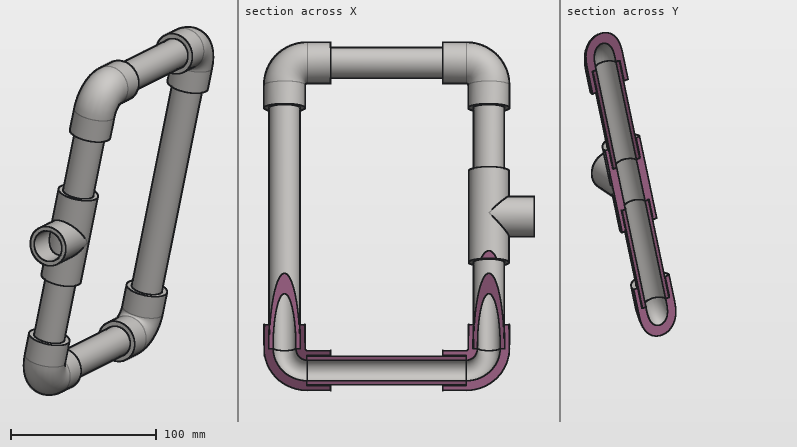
import cadquery as cq
import math

frame_depth = 140.2
frame_rise = 211.2
frame_lean = 45.0
frame_height = math.hypot(frame_rise, frame_lean)
lean_angle = math.degrees(math.atan2(frame_lean, frame_rise))

pipe_diameter = 21.3
pipe_bore = 15.3

socket_diameter = 21.5
socket_depth = 16.0

elbow_diameter = 28.5
bend_radius = 15.5

tee_diameter = 27.8
tee_half_run = 32.1
tee_branch_length = 31.2


def rod(start, direction, length, diameter):
    """Solid cylinder running from a point along a direction."""
    return cq.Workplane(
        cq.Solid.makeCylinder(diameter / 2, length, cq.Vector(*start), cq.Vector(*direction))
    )


def bend(diameter):
    """Quarter-circle round bar from (0, bend_radius, 0) to (0, 0, bend_radius)."""
    return (
        cq.Workplane("XZ", origin=(0, bend_radius, 0))
        .circle(diameter / 2)
        .revolve(90, (2.5, bend_radius, 0), (-2.5, bend_radius, 0))
    )


def make_elbow():
    """Elbow with its corner at the origin and its sockets opening toward +Y and +Z."""
    y_seat = (0, bend_radius, 0)
    z_seat = (0, 0, bend_radius)
    body = bend(elbow_diameter)
    passage = bend(pipe_bore)
    for seat, direction in ((y_seat, (0, 1, 0)), (z_seat, (0, 0, 1))):
        body = body.union(rod(seat, direction, socket_depth, elbow_diameter))
        passage = passage.union(rod(seat, direction, socket_depth, socket_diameter))
    return body.cut(passage)


def make_tee():
    """Tee centred at the origin with its run along Z and its branch toward -Y."""
    run_start = (0, 0, -tee_half_run)
    run_length = 2 * tee_half_run
    run = rod(run_start, (0, 0, 1), run_length, tee_diameter)
    branch = rod((0, 0, 0), (0, -1, 0), tee_branch_length, tee_diameter)
    branch = branch.cut(rod((0, 0, 0), (0, -1, 0), tee_branch_length, socket_diameter))
    body = run.union(branch).cut(rod(run_start, (0, 0, 1), run_length, pipe_bore))
    for side in (-1, 1):
        mouth = (0, 0, side * tee_half_run)
        body = body.cut(rod(mouth, (0, 0, -side), socket_depth, socket_diameter))
    return body


def make_pipe(start, direction, length):
    """Hollow pipe running from a point along a direction."""
    outside = rod(start, direction, length, pipe_diameter)
    return outside.cut(rod(start, direction, length, pipe_bore))


def lean(body):
    """Tip an upright body about the Y axis into the plane of the frame."""
    return body.rotate((0, 0, 0), (0, 1, 0), lean_angle)


front_y = -frame_depth / 2
back_y = frame_depth / 2
bottom_z = -frame_height / 2
top_z = frame_height / 2

lower_front = make_elbow().translate((0, front_y, bottom_z))
elbows = []
for is_back in (False, True):
    for is_top in (False, True):
        corner = lower_front
        if is_back:
            corner = corner.mirror("XZ")
        if is_top:
            corner = corner.mirror("XY")
        elbows.append(lean(corner))

tee = lean(make_tee().translate((0, front_y, 0)))

pipes = []
for level_z in (bottom_z, top_z):
    cross_start = (0, front_y + bend_radius, level_z)
    pipes.append(lean(make_pipe(cross_start, (0, 1, 0), frame_depth - 2 * bend_radius)))

back_start = (0, back_y, bottom_z + bend_radius)
pipes.append(lean(make_pipe(back_start, (0, 0, 1), frame_height - 2 * bend_radius)))

tee_seat = tee_half_run - socket_depth
front_pipe_length = frame_height / 2 - bend_radius - tee_seat
for start_z in (bottom_z + bend_radius, tee_seat):
    pipes.append(lean(make_pipe((0, front_y, start_z), (0, 0, 1), front_pipe_length)))

result = cq.Compound.makeCompound([*[body.val() for body in elbows + pipes], tee.val()])